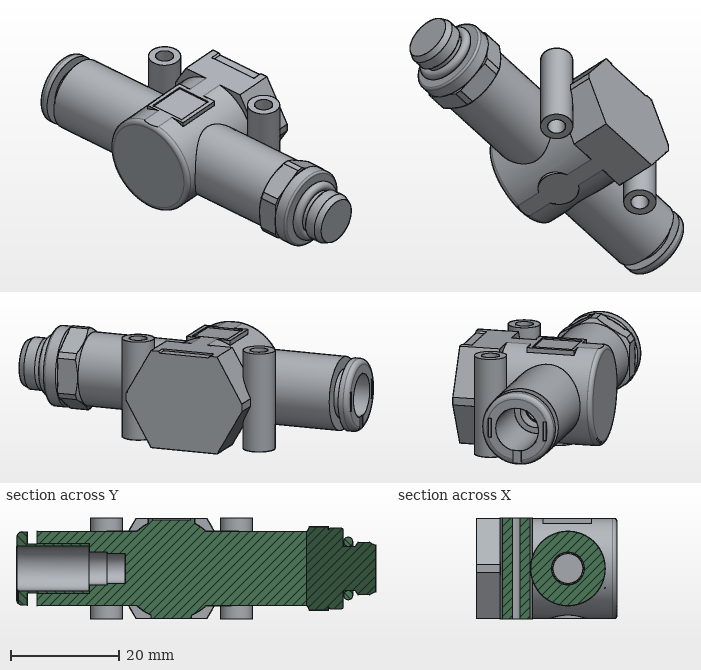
import cadquery as cq
import math


overall_length = 66.4
sleeve_start = -28.6
barrel_start = -24.9
barrel_end = 25.0
fitting_end = sleeve_start + overall_length

barrel_diameter = 13.8
sleeve_pocket_depth = 9.7
stop_bore_diameter = 6.0
stop_bore_depth = 3.3
inner_bore_diameter = 5.5
inner_bore_depth = 3.3

block_height = 18.5
half_height = block_height / 2
hub_flat_width = 3.3
hub_diameter = math.hypot(block_height, hub_flat_width)
hub_front = -9.1
hub_front_fillet = 0.85

block_front = 9.2
block_back = 16.9
block_half_width = 11.5
block_corner_half_height = 0.7
block_side_angle = 30.0
block_top_half_width = block_half_width - (half_height - block_corner_half_height) * math.tan(
    math.radians(block_side_angle)
)

notch_width = 10.2
notch_length = 2.0
notch_depth = 0.3
notch_side_run = 0.3

pad_width = 8.6
pad_length = 9.0
pad_center_y = 0.1
pad_recess_width = 7.0
pad_recess_length = 7.6
pad_recess_center_y = 0.0
pad_recess_depth = 0.25
round_pad_diameter = 7.6

lug_diameter = 6.0
lug_hole_diameter = 3.3
lug_x = 12.0
lug_y = 9.55
lug_height = 18.7

sleeve_outer_diameter = 9.2
sleeve_bore_diameter = 8.2
rim_diameter = 13.6
rim_thickness = 2.0
rim_fillet = 1.0
mark_depth = 0.25
mark_slot_width = 1.6
side_mark_inner = 5.0
side_mark_outer = 5.6
side_mark_height = 3.6

hex_flats = 14.0
hex_corners = 15.5
hex_end = 29.0
hex_chamfer_length = 0.45
hex_face_diameter = barrel_diameter
collar_diameter = 15.0
collar_end = 31.8
collar_lead_in = 0.25
collar_lead_in_diameter = 14.2
collar_fillet = 0.4
groove_diameter = 8.2
groove_end = 33.9
thread_diameter = 9.75
thread_lead_in = 0.5
thread_end_chamfer_length = 1.2
thread_end_diameter = 8.6

seal_diameter = 11.7
seal_section = (seal_diameter - groove_diameter) / 2


def rod(diameter, start, end):
    """Cylinder on the barrel axis between two X stations."""
    return cq.Workplane("YZ", origin=(start, 0, 0)).circle(diameter / 2).extrude(end - start)


def post(diameter, x, y, bottom, top):
    """Vertical cylinder between two heights."""
    return cq.Workplane("XY", origin=(x, y, bottom)).circle(diameter / 2).extrude(top - bottom)


def across_y(outline, start, end):
    """Closed XZ outline extruded between two Y stations."""
    plane = cq.Plane(origin=(0, start, 0), xDir=(1, 0, 0), normal=(0, -1, 0))
    return cq.Workplane(plane).polyline(outline).close().extrude(start - end)


def make_hub():
    """Cylinder on the Y axis, rounded at its front and cut flat above and below."""
    length = block_front - hub_front
    hub = cq.Workplane("XZ", origin=(0, block_front, 0)).circle(hub_diameter / 2).extrude(length)
    hub = hub.faces("<Y").edges().fillet(hub_front_fillet)
    flats = cq.Workplane("XY", origin=(0, hub_front + length / 2, 0)).box(hub_diameter, length, block_height)
    return hub.intersect(flats)


def make_block():
    """Six-sided block with flattened side corners and a notch in its top face."""
    right_side = [
        (block_top_half_width, half_height),
        (block_half_width, block_corner_half_height),
        (block_half_width, -block_corner_half_height),
        (block_top_half_width, -half_height),
    ]
    left_side = [(-x, z) for x, z in reversed(right_side)]
    block = across_y(right_side + left_side, block_front, block_back)

    notch_floor = half_height - notch_depth
    notch_half_width = notch_width / 2
    floor_half_width = notch_half_width - notch_side_run
    notch_outline = [
        (-notch_half_width, half_height),
        (-floor_half_width, notch_floor),
        (floor_half_width, notch_floor),
        (notch_half_width, half_height),
    ]
    return block.cut(across_y(notch_outline, block_back - notch_length, block_back))


def make_label_pad():
    """Rectangular pad rising from the hub, and the recess that leaves a narrow frame around its top."""
    pad = cq.Workplane("XY", origin=(0, pad_center_y, 0)).rect(pad_width, pad_length).extrude(half_height)
    recess_floor = half_height - pad_recess_depth
    recess = (
        cq.Workplane("XY", origin=(0, pad_recess_center_y, recess_floor))
        .rect(pad_recess_width, pad_recess_length)
        .extrude(pad_recess_depth)
    )
    return pad, recess


def make_housing():
    """Barrel, hub, block, pads and lugs as one solid, bored from the -X end."""
    pad, pad_recess = make_label_pad()
    housing = rod(barrel_diameter, barrel_start, barrel_end)
    housing = housing.union(make_hub()).union(make_block())
    housing = housing.union(pad).cut(pad_recess)
    housing = housing.union(post(round_pad_diameter, 0, 0, -half_height, 0))
    for x in (-lug_x, lug_x):
        housing = housing.union(post(lug_diameter, x, lug_y, -lug_height / 2, lug_height / 2))
        housing = housing.cut(post(lug_hole_diameter, x, lug_y, -lug_height / 2, lug_height / 2))

    pocket_end = barrel_start + sleeve_pocket_depth
    stop_end = pocket_end + stop_bore_depth
    housing = housing.cut(rod(sleeve_outer_diameter, barrel_start, pocket_end))
    housing = housing.cut(rod(stop_bore_diameter, pocket_end, stop_end))
    return housing.cut(rod(inner_bore_diameter, stop_end, stop_end + inner_bore_depth))


def make_release_sleeve():
    """Tube with a rounded rim and three shallow marks in the rim's end face."""
    sleeve_end = barrel_start + sleeve_pocket_depth
    rim = rod(rim_diameter, sleeve_start, sleeve_start + rim_thickness)
    rim = rim.faces("<X").edges().fillet(rim_fillet)
    sleeve = rim.union(rod(sleeve_outer_diameter, sleeve_start, sleeve_end))
    sleeve = sleeve.cut(rod(sleeve_bore_diameter, sleeve_start, sleeve_end))

    face = cq.Workplane("YZ", origin=(sleeve_start, 0, 0))
    rim_radius = rim_diameter / 2
    bottom_slot = face.center(0, -rim_radius / 2).rect(mark_slot_width, rim_radius).extrude(mark_depth)
    side_mark_y = (side_mark_inner + side_mark_outer) / 2
    side_marks = (
        face.pushPoints([(-side_mark_y, 0), (side_mark_y, 0)])
        .rect(side_mark_outer - side_mark_inner, side_mark_height)
        .extrude(mark_depth)
    )
    return sleeve.cut(bottom_slot).cut(side_marks)


def turned(profile):
    """Closed (x, radius) profile revolved about the barrel axis."""
    return cq.Workplane("XY").polyline(profile).close().revolve(360, (0, 0, 0), (1, 0, 0))


def hexagonal_bar(flats):
    """Regular hexagonal bar with two corners toward +Y and -Y, given its width across flats."""
    corner_circle = flats / math.cos(math.pi / 6)
    start = cq.Workplane("YZ", origin=(barrel_end, 0, 0))
    return start.polygon(6, corner_circle).extrude(hex_end - barrel_end)


def make_hex():
    """Hexagon with flats toward +Y and -Y, its corners cut flat and its barrel end chamfered."""
    hexagon = hexagonal_bar(hex_flats).rotate((0, 0, 0), (1, 0, 0), 90)
    corner_trim = hexagonal_bar(hex_corners)
    chamfer_end = barrel_end + hex_chamfer_length
    chamfer_cone = turned(
        [
            (barrel_end, 0),
            (barrel_end, hex_face_diameter / 2),
            (chamfer_end, hex_corners / 2),
            (chamfer_end, hex_corners),
            (hex_end, hex_corners),
            (hex_end, 0),
        ]
    )
    return hexagon.intersect(corner_trim).intersect(chamfer_cone)


def make_collar():
    """Round collar, conical where it meets the hexagon and rounded on its seal side."""
    collar = turned(
        [
            (hex_end, 0),
            (hex_end, collar_lead_in_diameter / 2),
            (hex_end + collar_lead_in, collar_diameter / 2),
            (collar_end, collar_diameter / 2),
            (collar_end, 0),
        ]
    )
    return collar.faces(">X").edges().fillet(collar_fillet)


def make_thread_stub():
    """Plain stub at thread diameter, with a cone at each end."""
    return turned(
        [
            (groove_end, 0),
            (groove_end, groove_diameter / 2),
            (groove_end + thread_lead_in, thread_diameter / 2),
            (fitting_end - thread_end_chamfer_length, thread_diameter / 2),
            (fitting_end, thread_end_diameter / 2),
            (fitting_end, 0),
        ]
    )


def make_fitting():
    """Hexagon, collar, sealing groove and thread stub as one solid."""
    groove_floor = rod(groove_diameter, collar_end, groove_end)
    return make_hex().union(make_collar()).union(groove_floor).union(make_thread_stub())


def make_seal():
    """O-ring seated in the groove against the collar."""
    section_radius = seal_section / 2
    ring_radius = seal_diameter / 2 - section_radius
    ring = cq.Solid.makeTorus(
        ring_radius, section_radius, cq.Vector(collar_end + section_radius, 0, 0), cq.Vector(1, 0, 0)
    )
    return cq.Workplane(ring)


housing = make_housing()
release_sleeve = make_release_sleeve()
fitting = make_fitting()
seal = make_seal()

result = cq.Compound.makeCompound([housing.val(), release_sleeve.val(), fitting.val(), seal.val()])